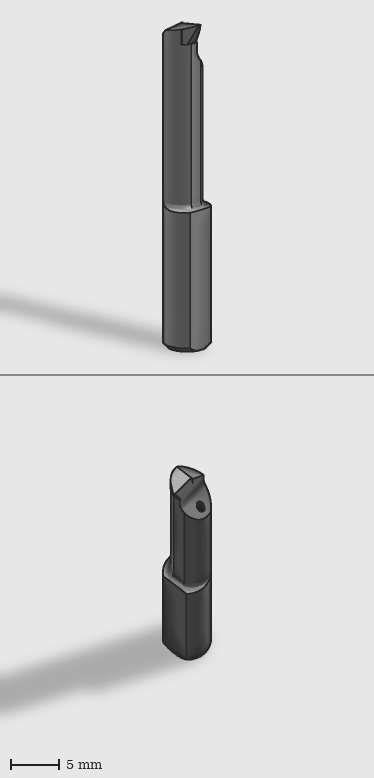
import cadquery as cq
import math

length = 35.0
shank_diameter = 5.0
shank_radius = shank_diameter / 2
flat_x = 4.45 - shank_radius
end_chamfer = 0.52

neck_radius = 2.188
neck_axis_x = -0.77
neck_flat_x = 1.3
neck_start_z = 15.1
flare_radius = 0.63

tooth_bottom_z = 32.95
tooth_root_x = 0.77
tooth_root_y = -1.65
tooth_foot_x = 1.15
tooth_corner = (1.85, -0.3)

ridge_x = -0.77
ridge_z = 34.7
top_slope_y = 0.16
back_slope_x = 0.93
back_slope_y = 0.1

pocket_face_y = 0.15
pocket_wall_bottom_z = 32.1
pocket_bend_radius = 1.5
pocket_slope_angle = math.radians(50)

rake_slope_x = 0.06
rake_slope_z = 0.25

coolant_diameter = 0.8
coolant_center = (-0.65, 1.3)

reach = 2 * shank_diameter


def side_block(start_x, start_z):
    """Block filling everything beyond start_x and above start_z."""
    block = cq.Workplane("XY").box(reach, reach, length, centered=(False, True, False))
    return block.translate((start_x, 0, start_z))


def flare_profile(half_width):
    """Half outline of the neck: a straight side with a concave flare at its foot."""
    arc_middle = flare_radius * (1 - math.sqrt(0.5))
    return (
        cq.Workplane("XZ")
        .lineTo(reach, 0)
        .lineTo(reach, neck_start_z)
        .lineTo(half_width + flare_radius, neck_start_z)
        .threePointArc(
            (half_width + arc_middle, neck_start_z + arc_middle),
            (half_width, neck_start_z + flare_radius),
        )
        .lineTo(half_width, length)
        .lineTo(0, length)
        .close()
    )


def make_bar():
    shank = cq.Workplane("XY").circle(shank_radius).extrude(length).faces("<Z").chamfer(end_chamfer)
    shank = shank.cut(side_block(flat_x, 0))
    round_neck = flare_profile(neck_radius).revolve(360, (0, 0, 0), (0, 1, 0))
    flat_neck = flare_profile(neck_flat_x).extrude(reach, both=True)
    flat_neck = flat_neck.union(side_block(-reach, 0))
    return shank.intersect(round_neck.translate((neck_axis_x, 0, 0))).intersect(flat_neck)


def make_tooth():
    plan = (
        cq.Workplane("XY")
        .polyline([(tooth_root_x, pocket_face_y), (tooth_root_x, tooth_root_y), tooth_corner,
                   (flat_x, 0), (flat_x, pocket_face_y)])
        .close()
        .extrude(length)
    )
    side = (
        cq.Workplane("XZ")
        .polyline([(tooth_root_x, tooth_bottom_z), (tooth_foot_x, tooth_bottom_z),
                   (flat_x, length), (tooth_root_x, length)])
        .close()
        .extrude(reach, both=True)
    )
    return plan.intersect(side)


def cutter(point, outward):
    """Block filling everything on the outward side of a plane through a point."""
    return cq.Workplane(cq.Plane(origin=point, normal=outward)).rect(2 * reach, 2 * reach).extrude(reach)


def make_pocket():
    bend_turn = math.pi / 2 - pocket_slope_angle

    def bend_point(turn):
        return (
            pocket_face_y + pocket_bend_radius * (1 - math.cos(turn)),
            pocket_wall_bottom_z - pocket_bend_radius * math.sin(turn),
        )

    ramp_start_y, ramp_start_z = bend_point(bend_turn)
    ramp_drop = (reach - ramp_start_y) * math.tan(pocket_slope_angle)
    return (
        cq.Workplane("YZ")
        .moveTo(pocket_face_y, length)
        .lineTo(pocket_face_y, pocket_wall_bottom_z)
        .threePointArc(bend_point(bend_turn / 2), (ramp_start_y, ramp_start_z))
        .lineTo(reach, ramp_start_z - ramp_drop)
        .lineTo(reach, length)
        .close()
        .extrude(reach, both=True)
    )


def make_rake_cut():
    tip_zone = side_block(ridge_x, tooth_bottom_z)
    return cutter((flat_x, 0, length), (-rake_slope_x, 1, rake_slope_z)).intersect(tip_zone)


top_slope_x = (length - ridge_z) / (flat_x - ridge_x)

clearance = side_block(tooth_root_x, tooth_bottom_z)

result = make_bar().cut(clearance).union(make_tooth())
result = result.cut(make_pocket())
result = result.cut(cutter((flat_x, 0, length), (-top_slope_x, -top_slope_y, 1)))
result = result.cut(cutter((ridge_x, 0, ridge_z), (-back_slope_x, -back_slope_y, 1)))
result = result.cut(make_rake_cut())

coolant_hole = cq.Workplane("XY").center(*coolant_center).circle(coolant_diameter / 2).extrude(length)
result = result.cut(coolant_hole)